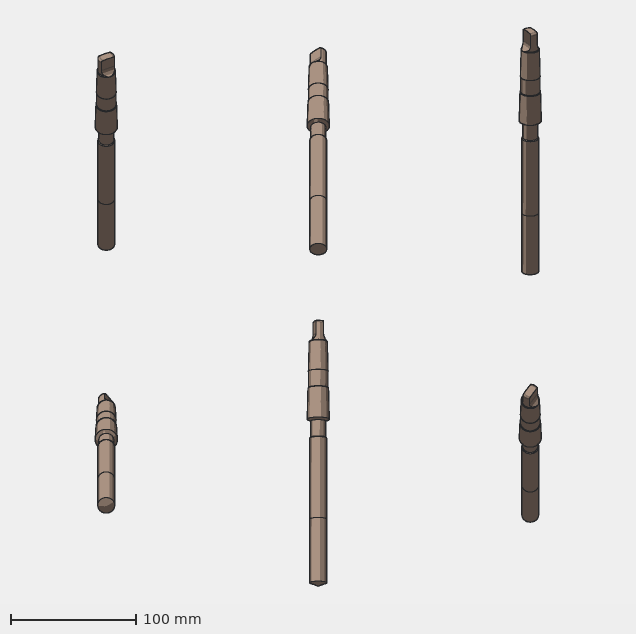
import cadquery as cq
import math

total_length = 216.0

drill_diameter = 13.5
drill_radius = drill_diameter / 2
point_angle = 135.0
point_height = drill_radius / math.tan(math.radians(point_angle / 2))
joint_z = 54.6

neck_radius = 12.0 / 2
neck_bottom_z = 121.1
neck_chamfer = drill_radius - neck_radius

taper_bottom_z = 135.8
taper_top_z = 199.5
taper_bottom_radius = 18.0 / 2
taper_slope = 1 / 40
end_bevel_height = 1.5

groove_radius = 15.5 / 2
groove_bottom_z = 161.0
groove_top_z = 174.9

tang_radius = 13.4 / 2
tang_thickness = 6.3
tang_turn = -10.0
flat_bottom_z = 204.7
flat_run_out_radius = 6.0
tang_crown_height = 0.6
tang_edge_radius = 1.5
tang_straight_z = total_length - tang_crown_height - tang_edge_radius


def taper_radius(z):
    """Radius of the Morse taper at height z."""
    return taper_bottom_radius - (z - taper_bottom_z) * taper_slope


def revolve_profile(points):
    """Solid of revolution about Z from (radius, z) points."""
    return cq.Workplane("XZ").polyline(points).close().revolve(360, (0, 0, 0), (0, 1, 0))


def make_drill_body():
    return revolve_profile([
        (0, 0),
        (drill_radius, point_height),
        (drill_radius, joint_z),
        (0, joint_z),
    ])


def make_tang_end():
    """Rounded top of the tang: a shallow cone with a rounded rim."""
    crown_radius = tang_radius - tang_edge_radius
    diagonal = tang_edge_radius * math.sqrt(0.5)
    return (
        cq.Workplane("XZ")
        .moveTo(0, tang_straight_z)
        .lineTo(tang_radius, tang_straight_z)
        .threePointArc(
            (crown_radius + diagonal, tang_straight_z + diagonal),
            (crown_radius, tang_straight_z + tang_edge_radius),
        )
        .lineTo(0, total_length)
        .close()
        .revolve(360, (0, 0, 0), (0, 1, 0))
    )


def make_flat_cutter():
    """Cutter for the +X flat: a vertical face ending in a concave quarter round."""
    flat_x = tang_thickness / 2
    arc_center_x = flat_x + flat_run_out_radius
    diagonal = flat_run_out_radius * math.sqrt(0.5)
    return (
        cq.Workplane("XZ")
        .moveTo(flat_x, total_length)
        .lineTo(flat_x, flat_bottom_z)
        .threePointArc(
            (arc_center_x - diagonal, flat_bottom_z - diagonal),
            (arc_center_x, flat_bottom_z - flat_run_out_radius),
        )
        .lineTo(arc_center_x, total_length)
        .close()
        .extrude(taper_bottom_radius, both=True)
    )


def make_shank():
    groove_chamfer = taper_radius(groove_bottom_z) - groove_radius
    shoulder_chamfer = taper_radius(taper_top_z) - tang_radius
    blank = revolve_profile([
        (0, joint_z),
        (drill_radius, joint_z),
        (drill_radius, neck_bottom_z - neck_chamfer),
        (neck_radius, neck_bottom_z),
        (neck_radius, taper_bottom_z - end_bevel_height),
        (taper_bottom_radius, taper_bottom_z),
        (taper_radius(groove_bottom_z), groove_bottom_z),
        (groove_radius, groove_bottom_z + groove_chamfer),
        (groove_radius, groove_top_z),
        (taper_radius(groove_top_z), groove_top_z),
        (taper_radius(taper_top_z), taper_top_z - shoulder_chamfer),
        (tang_radius, taper_top_z),
        (tang_radius, tang_straight_z),
        (0, tang_straight_z),
    ])
    shank = blank.union(make_tang_end())
    for side in (0, 180):
        cutter = make_flat_cutter().rotate((0, 0, 0), (0, 0, 1), tang_turn + side)
        shank = shank.cut(cutter)
    return shank


drill_body = make_drill_body()
shank = make_shank()

result = cq.Compound.makeCompound([drill_body.val(), shank.val()])